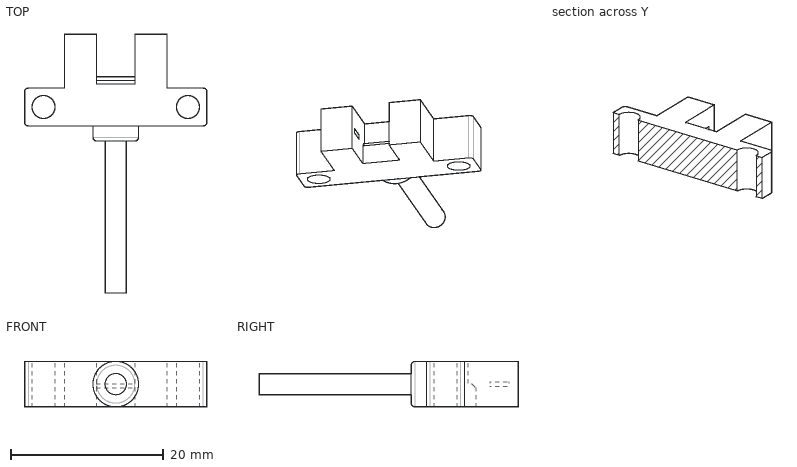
import cadquery as cq

height = 6.0
bar_length = 24.0
bar_depth = 5.0
bar_corner_radius = 0.5
leg_reach = 7.1
gap_width = 5.0
leg_width = 4.25
legs_span = gap_width + 2 * leg_width
tip_y = bar_depth + leg_reach
gap_depth = 6.6
gap_floor_y = tip_y - gap_depth

hole_diameter = 3.0
hole_pitch = 19.0

ledge_reach = 1.0
ledge_chamfer = 0.5
ledge_top = height / 2

slit_length = 2.5
slit_height = 0.6
slit_recess = 0.02
slit_tip_offset = 1.2

total_depth = 34.1
relief_diameter = 6.0
relief_length = 2.0
relief_edge_radius = 0.5
cable_diameter = 2.8
cable_end_distance = total_depth - tip_y


def box(x_size, y_min, y_max, z_min, z_max):
    """Box centred on X = 0, between the given Y and Z limits."""
    return cq.Workplane("XY").box(
        x_size, y_max - y_min, z_max - z_min, centered=(True, False, False)
    ).translate((0, y_min, z_min))


def make_housing():
    bar = box(bar_length, 0, bar_depth, 0, height).edges("|Z").fillet(bar_corner_radius)
    legs = box(legs_span, 0, tip_y, 0, height)
    gap = box(gap_width, gap_floor_y, tip_y, 0, height)
    return bar.union(legs).cut(gap)


def make_mounting_holes():
    return (
        cq.Workplane("XY")
        .pushPoints([(-hole_pitch / 2, bar_depth / 2), (hole_pitch / 2, bar_depth / 2)])
        .circle(hole_diameter / 2)
        .extrude(height)
    )


def make_ledge():
    ledge = box(gap_width, gap_floor_y, gap_floor_y + ledge_reach, 0, ledge_top)
    return ledge.edges(">Y and >Z").chamfer(ledge_chamfer)


def make_slits():
    """One bar across the gap that bites into both facing leg walls."""
    slit_end_y = tip_y - slit_tip_offset
    return box(
        gap_width + 2 * slit_recess,
        slit_end_y - slit_length,
        slit_end_y,
        (height - slit_height) / 2,
        (height + slit_height) / 2,
    )


def make_rod(diameter, length):
    """Round rod at mid-height, running from the bar's front face toward -Y."""
    return (
        cq.Workplane("XZ")
        .center(0, height / 2)
        .circle(diameter / 2)
        .extrude(length)
    )


strain_relief = make_rod(relief_diameter, relief_length).edges("<Y").fillet(relief_edge_radius)
cable = make_rod(cable_diameter, cable_end_distance)

result = (
    make_housing()
    .cut(make_mounting_holes())
    .cut(make_slits())
    .union(make_ledge())
    .union(strain_relief)
    .union(cable)
)